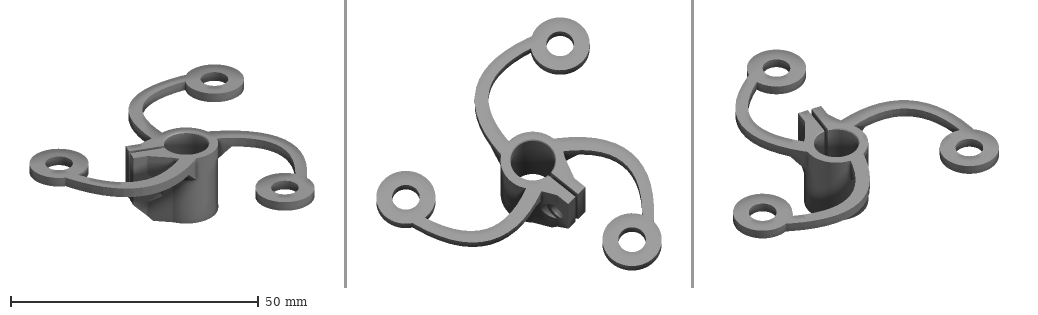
import cadquery as cq
import math

total_height = 15.0
plate_thickness = 2.0
plate_bottom = total_height - plate_thickness
arm_count = 3
ring_circle_radius = 27.0
first_ring_angle = 30.0

ring_radius = 6.0
ring_hole_diameter = 5.6

hub_radius = 6.5
bore_radius = 4.5
bore_chamfer = 0.2
gusset_height = 3.0

tab_half_width = 2.6
tab_end_y = -12.0
tab_chamfer = 4.0
slot_width = 0.8
slope_end_y = -9.0
slope_start_y = -4.3
slope_start_x = math.sqrt(hub_radius**2 - slope_start_y**2)

screw_y = -9.0
screw_z = total_height / 2
screw_hole_diameter = 3.2
screw_head_diameter = 6.0
nut_corner_diameter = 6.4
nut_turn = 30.0

arm_start = (-2.06, 3.45)
arm_control = (0.57, 26.4)
arm_end = (22.18, 17.15)
arm_start_width = 3.15
arm_end_width = 2.3
arm_facets = 16


def arm_edge_point(step, side):
    """Point on the left (side=1) or right (side=-1) edge of the arm after a number of facets."""
    t = step / arm_facets
    x, y = (
        (1 - t) ** 2 * a + 2 * t * (1 - t) * b + t**2 * c
        for a, b, c in zip(arm_start, arm_control, arm_end)
    )
    dx, dy = (
        (1 - t) * (b - a) + t * (c - b)
        for a, b, c in zip(arm_start, arm_control, arm_end)
    )
    width = arm_start_width + (arm_end_width - arm_start_width) * t
    offset = side * width / 2 / math.hypot(dx, dy)
    return (x - dy * offset, y + dx * offset)


def make_arm_blade(bottom, top):
    """Arm outline extruded between two heights."""
    left_edge = [arm_edge_point(step, 1) for step in range(arm_facets + 1)]
    right_edge = [arm_edge_point(step, -1) for step in range(arm_facets, -1, -1)]
    outline = cq.Workplane("XY").workplane(offset=bottom).polyline(left_edge + right_edge).close()
    return outline.extrude(top - bottom)


def make_gusset():
    """Wedge under the arm root, cut to a 45 degree cone around the hub."""
    gusset_bottom = plate_bottom - gusset_height
    cone = cq.Workplane(
        cq.Solid.makeCone(
            hub_radius,
            hub_radius + gusset_height,
            gusset_height,
            pnt=cq.Vector(0, 0, gusset_bottom),
        )
    )
    return make_arm_blade(gusset_bottom, plate_bottom).intersect(cone)


def make_ring_arm():
    """One arm with its end ring and gusset; the ring hole is open."""
    angle = math.radians(first_ring_angle)
    ring_x = ring_circle_radius * math.cos(angle)
    ring_y = ring_circle_radius * math.sin(angle)
    plate = cq.Workplane("XY").workplane(offset=plate_bottom).center(ring_x, ring_y)
    ring = plate.circle(ring_radius).extrude(plate_thickness)
    hole = plate.circle(ring_hole_diameter / 2).extrude(plate_thickness)
    return make_arm_blade(plate_bottom, total_height).union(ring).cut(hole).union(make_gusset())


def make_clamp_tabs():
    """Tab block that widens into the hub, with its lower front edge chamfered."""
    outline = [
        (slope_start_x, slope_start_y),
        (tab_half_width, slope_end_y),
        (tab_half_width, tab_end_y),
        (-tab_half_width, tab_end_y),
        (-tab_half_width, slope_end_y),
        (-slope_start_x, slope_start_y),
    ]
    block = cq.Workplane("XY").polyline(outline).close().extrude(total_height)
    corner = [(tab_end_y, 0), (tab_end_y + tab_chamfer, 0), (tab_end_y, tab_chamfer)]
    chamfer = cq.Workplane("YZ").polyline(corner).close().extrude(hub_radius, both=True)
    return block.cut(chamfer)


def make_bore():
    """Shaft bore with a small chamfer at the top, and the slot that splits the tabs."""
    bore = cq.Workplane("XY").circle(bore_radius).extrude(total_height)
    flare = cq.Workplane(
        cq.Solid.makeCone(
            bore_radius,
            bore_radius + bore_chamfer,
            bore_chamfer,
            pnt=cq.Vector(0, 0, total_height - bore_chamfer),
        )
    )
    slot = cq.Workplane("XY").box(slot_width, -tab_end_y, total_height, centered=(True, False, False))
    return bore.union(flare).union(slot.translate((0, tab_end_y, 0)))


def make_screw_cuts():
    """Cross hole, round head seat on the -X side and hexagonal nut seat on the +X side."""
    across = cq.Workplane("YZ").center(screw_y, screw_z)
    hole = across.circle(screw_hole_diameter / 2).extrude(hub_radius, both=True)
    nut = across.transformed(rotate=(0, 0, nut_turn)).polygon(6, nut_corner_diameter).extrude(hub_radius)
    head = across.circle(screw_head_diameter / 2).extrude(-hub_radius)
    nut = nut.translate((tab_half_width, 0, 0))
    head = head.translate((-tab_half_width, 0, 0))
    return hole.union(nut).union(head)


def make_part():
    """Hub with clamp tabs and three equally spaced ring arms."""
    body = cq.Workplane("XY").circle(hub_radius).extrude(total_height).union(make_clamp_tabs())
    body = body.cut(make_screw_cuts())
    ring_arm = make_ring_arm()
    for index in range(arm_count):
        body = body.union(ring_arm.rotate((0, 0, 0), (0, 0, 1), index * 360 / arm_count))
    return body.cut(make_bore())


result = make_part()